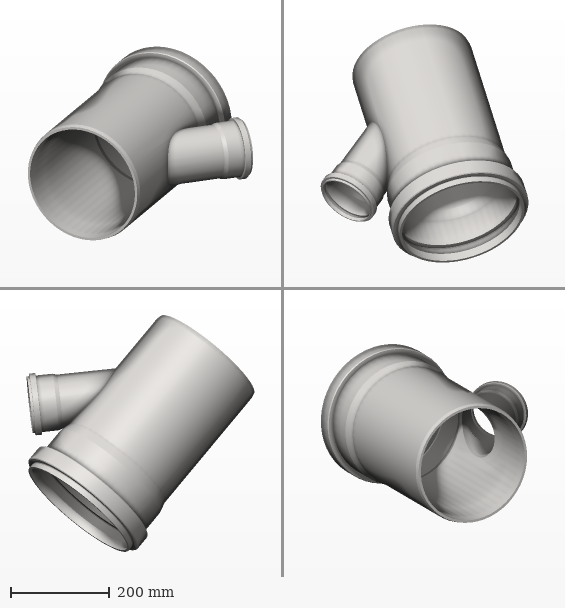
import cadquery as cq

LENGTH = 416
PIPE_DIAMETER = 251.0
BORE_DIAMETER = 236.3
PLAIN_END_DIAMETER = 246.5
PLAIN_END_TAPER = 9.0
SOCKET_DIAMETER = 262
SOCKET_BORE_DIAMETER = 251.3
TAPER_START = 293.0
TAPER_END = 314.0
COLLAR_DIAMETER = 285.5
GROOVE_DIAMETER = 274.5
COLLAR_START = 369.5
COLLAR_END = 403.0
COLLAR_CHAMFER = 1.5

BRANCH_ANGLE = 45
BRANCH_AXIS_Y = 91.0
BRANCH_LENGTH = 304.5
BRANCH_DIAMETER = 110.2
BRANCH_BORE_DIAMETER = 104
BRANCH_SOCKET_DIAMETER = 115.5
BRANCH_SOCKET_BORE_DIAMETER = 111.0
BRANCH_TAPER_START = 243.8
BRANCH_TAPER_END = 252.0
BRANCH_COLLAR_DIAMETER = 126.0
BRANCH_GROOVE_DIAMETER = 121.0
BRANCH_COLLAR_START = 286.5
BRANCH_COLLAR_END = 299.5
BRANCH_COLLAR_CHAMFER = 1.0


def revolve_profile(stations):
    """Solid of revolution about Y from (diameter, axial position) stations."""
    points = [(diameter / 2, position) for diameter, position in stations]
    outline = [(0, points[0][1])] + points + [(0, points[-1][1])]
    return cq.Workplane("XY").polyline(outline).close().revolve(360, (0, 0), (0, 1))


def raised_band(base, top, start, end, chamfer):
    """Stations of a band that rises from one diameter to another, with chamfered corners."""
    return [
        (base, start),
        (top - 2 * chamfer, start),
        (top, start + chamfer),
        (top, end - chamfer),
        (top - 2 * chamfer, end),
        (base, end),
    ]


def place_branch(body):
    """Tilt a body from the main axis towards +X and move it to the branch position."""
    tilted = body.rotate((0, 0, 0), (0, 0, 1), -BRANCH_ANGLE)
    return tilted.translate((0, BRANCH_AXIS_Y, 0))


main_wall = (COLLAR_DIAMETER - GROOVE_DIAMETER) / 2
main_outside = revolve_profile(
    [
        (PLAIN_END_DIAMETER, 0),
        (PIPE_DIAMETER, PLAIN_END_TAPER),
        (PIPE_DIAMETER, TAPER_START),
        (SOCKET_DIAMETER, TAPER_END),
    ]
    + raised_band(SOCKET_DIAMETER, COLLAR_DIAMETER, COLLAR_START, COLLAR_END, COLLAR_CHAMFER)
    + [(SOCKET_DIAMETER, LENGTH)]
)
main_inside = revolve_profile(
    [
        (BORE_DIAMETER, 0),
        (BORE_DIAMETER, TAPER_START),
        (SOCKET_BORE_DIAMETER, TAPER_END),
    ]
    + raised_band(
        SOCKET_BORE_DIAMETER,
        GROOVE_DIAMETER,
        COLLAR_START + main_wall,
        COLLAR_END - main_wall,
        COLLAR_CHAMFER,
    )
    + [(SOCKET_BORE_DIAMETER, LENGTH)]
)

branch_wall = (BRANCH_COLLAR_DIAMETER - BRANCH_GROOVE_DIAMETER) / 2
branch_outside = revolve_profile(
    [
        (BRANCH_DIAMETER, 0),
        (BRANCH_DIAMETER, BRANCH_TAPER_START),
        (BRANCH_SOCKET_DIAMETER, BRANCH_TAPER_END),
    ]
    + raised_band(
        BRANCH_SOCKET_DIAMETER,
        BRANCH_COLLAR_DIAMETER,
        BRANCH_COLLAR_START,
        BRANCH_COLLAR_END,
        BRANCH_COLLAR_CHAMFER,
    )
    + [(BRANCH_SOCKET_DIAMETER, BRANCH_LENGTH)]
)
branch_inside = revolve_profile(
    [
        (BRANCH_BORE_DIAMETER, 0),
        (BRANCH_BORE_DIAMETER, BRANCH_TAPER_START),
        (BRANCH_SOCKET_BORE_DIAMETER, BRANCH_TAPER_END),
    ]
    + raised_band(
        BRANCH_SOCKET_BORE_DIAMETER,
        BRANCH_GROOVE_DIAMETER,
        BRANCH_COLLAR_START + branch_wall,
        BRANCH_COLLAR_END - branch_wall,
        BRANCH_COLLAR_CHAMFER,
    )
    + [(BRANCH_SOCKET_BORE_DIAMETER, BRANCH_LENGTH)]
)

result = main_outside.union(place_branch(branch_outside))
result = result.cut(main_inside).cut(place_branch(branch_inside))